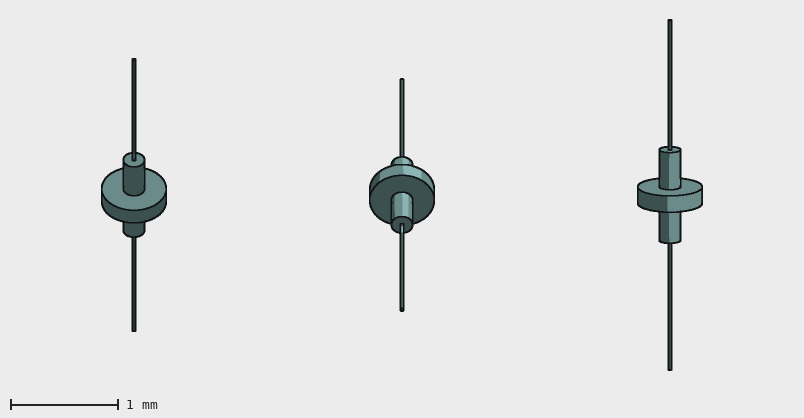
import cadquery as cq

wire_length = 3.38
wire_diameter = 0.0318
sleeve_length = 0.88
sleeve_diameter = 0.2
disc_thickness = 0.16
disc_diameter = 0.6


def centred_cylinder(diameter, length):
    """Cylinder along Z, centred on the origin."""
    return cq.Workplane("XY").workplane(offset=-length / 2).circle(diameter / 2).extrude(length)


wire = centred_cylinder(wire_diameter, wire_length)
sleeve = centred_cylinder(sleeve_diameter, sleeve_length)
disc = centred_cylinder(disc_diameter, disc_thickness)

result = disc.union(sleeve).union(wire)